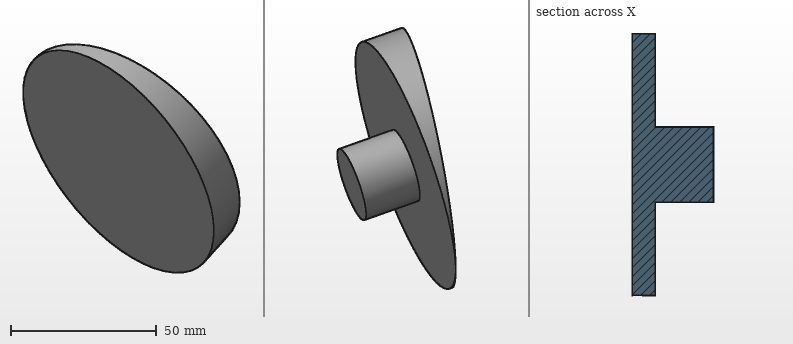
import cadquery as cq

disc_diameter = 90.0
thick_edge = 15.8
thin_edge = 0.1
stub_diameter = 26.0
stub_length = 20.0

disc_radius = disc_diameter / 2
cut_margin = 9.0
slope = (thick_edge - thin_edge) / disc_diameter


def disc_thickness(x):
    """Thickness under the sloping face at a given X."""
    return thin_edge + slope * (x + disc_radius)


def wedge_disc():
    """Round disc with a flat back at Y = 0 and a sloping front face."""
    cylinder = cq.Workplane("XZ").circle(disc_radius).extrude(thick_edge + cut_margin)
    reach = disc_radius + cut_margin
    cutter_front = -(thick_edge + 2 * cut_margin)
    cutter = (
        cq.Workplane("XY")
        .moveTo(-reach, -disc_thickness(-reach))
        .lineTo(reach, -disc_thickness(reach))
        .lineTo(reach, cutter_front)
        .lineTo(-reach, cutter_front)
        .close()
        .extrude(reach, both=True)
    )
    return cylinder.cut(cutter)


def stub():
    """Round stub standing on the middle of the flat back, toward +Y."""
    return cq.Workplane("XZ").circle(stub_diameter / 2).extrude(-stub_length)


result = wedge_disc().union(stub())